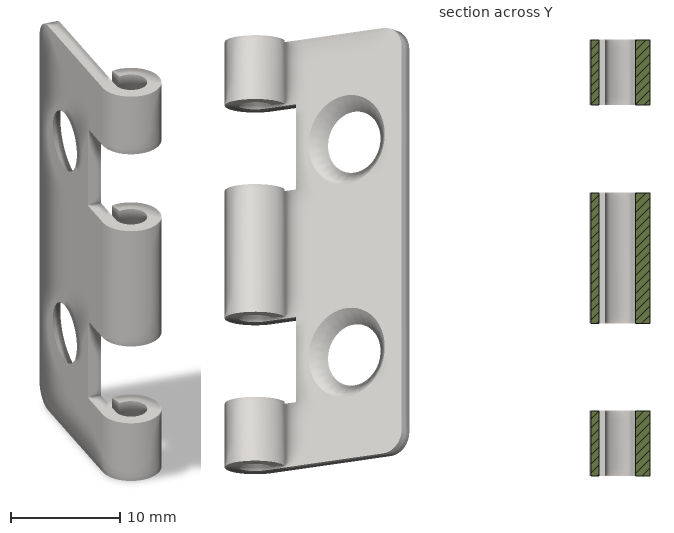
import cadquery as cq
import math

height = 40.0
curl_radius = 2.8
pin_diameter = 3.0
pin_radius = pin_diameter / 2
thickness = curl_radius - pin_radius
curl_x = 15.0
leaf_width = curl_x + curl_radius
corner_radius = 2.0

hole_diameter = 5.7
countersink_angle = 90.0
hole_x = 6.0
hole_spacing = 20.0

gap_height = 8.0
gap_spacing = 20.0
gap_start_x = 11.5

outer_end_angle = 196.0
inner_end_angle = 201.0


def curl_point(radius, angle):
    """Point in the XY plane on a circle around the pin axis."""
    radians = math.radians(angle)
    return (curl_x + radius * math.cos(radians), curl_radius + radius * math.sin(radians))


def rolled_leaf():
    """Flat plate with its +X edge rolled around the pin axis."""
    return (
        cq.Workplane("XY")
        .lineTo(curl_x, 0)
        .threePointArc(curl_point(curl_radius, 45), curl_point(curl_radius, outer_end_angle))
        .lineTo(*curl_point(pin_radius, inner_end_angle))
        .threePointArc(curl_point(pin_radius, 45), (curl_x, thickness))
        .lineTo(0, thickness)
        .close()
        .extrude(height)
    )


def knuckle_gap(center_z):
    """Block that removes the curl and the plate edge behind it."""
    return cq.Workplane("XY").box(
        leaf_width - gap_start_x, 2 * curl_radius, gap_height, centered=(False, False, True)
    ).translate((gap_start_x, 0, center_z))


def screw_hole(center_z):
    """Conical hole that widens from the outer face to the face on the curl side."""
    return (
        cq.Workplane("XZ")
        .center(hole_x, center_z)
        .circle(hole_diameter / 2)
        .extrude(-thickness, taper=-countersink_angle / 2)
    )


result = rolled_leaf().edges("|Y and <X").fillet(corner_radius)
for side in (-1, 1):
    result = result.cut(knuckle_gap(height / 2 + side * gap_spacing / 2))
    result = result.cut(screw_hole(height / 2 + side * hole_spacing / 2))